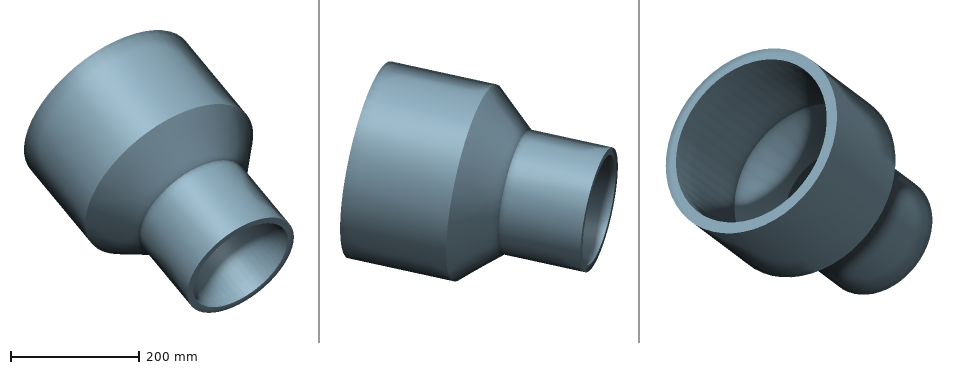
import cadquery as cq

total_length = 375.0
wide_length = 173.2
cone_length = 67.0
wide_outer_diameter = 315.0
wide_inner_diameter = 277.5
narrow_outer_diameter = 200.0
narrow_inner_diameter = 176.2

cone_end = wide_length + cone_length


def stepped_cone(wide_diameter, narrow_diameter):
    """Solid of revolution: wide cylinder, cone, narrow cylinder."""
    wide_radius = wide_diameter / 2
    narrow_radius = narrow_diameter / 2
    profile = [
        (0, 0),
        (0, wide_radius),
        (wide_length, wide_radius),
        (cone_end, narrow_radius),
        (total_length, narrow_radius),
        (total_length, 0),
    ]
    return cq.Workplane("XY").polyline(profile).close().revolve(360, (0, 0), (1, 0))


body = stepped_cone(wide_outer_diameter, narrow_outer_diameter)
bore = stepped_cone(wide_inner_diameter, narrow_inner_diameter)

result = body.cut(bore)